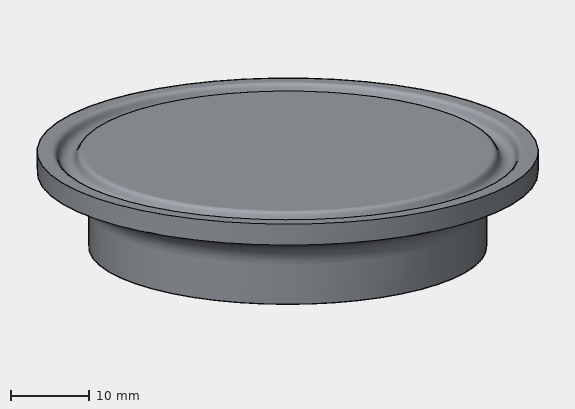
import cadquery as cq
import math

flange_diameter = 63.91
body_diameter = 50.8
total_height = 12.7

rim_height = 2.79
taper_angle = math.radians(20)
neck_fillet_radius = 3.1

groove_mid_radius = 28.13
groove_half_width = 2.02
wall_slope = math.radians(65)
lip_radius = 0.8
trough_radius = 1.19

flange_radius = flange_diameter / 2
body_radius = body_diameter / 2


def revolve_about_z(profile):
    """Turn a closed XZ profile a full circle about the Z axis."""
    full_turn = 360
    return profile.revolve(full_turn, axisStart=(0, 0, 0), axisEnd=(0, 1, 0))


def make_blank():
    """Revolve the body, neck fillet, tapered flange and rim about Z."""
    taper_end_radius = body_radius + neck_fillet_radius * (1 - math.sin(taper_angle))
    taper_end_z = -rim_height - (flange_radius - taper_end_radius) * math.tan(taper_angle)
    fillet_center_radius = body_radius + neck_fillet_radius
    fillet_center_z = taper_end_z - neck_fillet_radius * math.cos(taper_angle)

    fillet_mid_angle = (math.pi / 2 - taper_angle) / 2
    fillet_mid = (
        fillet_center_radius - neck_fillet_radius * math.cos(fillet_mid_angle),
        fillet_center_z + neck_fillet_radius * math.sin(fillet_mid_angle),
    )
    profile = (
        cq.Workplane("XZ")
        .moveTo(0, 0)
        .lineTo(flange_radius, 0)
        .lineTo(flange_radius, -rim_height)
        .lineTo(taper_end_radius, taper_end_z)
        .threePointArc(fillet_mid, (body_radius, fillet_center_z))
        .lineTo(body_radius, -total_height)
        .lineTo(0, -total_height)
        .close()
    )
    return revolve_about_z(profile)


def make_gasket_groove():
    """Ring to remove: lip arc, straight wall and trough arc, tangent and mirrored about the mid radius."""
    lip_end_offset = groove_half_width - lip_radius * math.sin(wall_slope)
    lip_end_z = -lip_radius * (1 - math.cos(wall_slope))
    lip_mid_offset = groove_half_width - lip_radius * math.sin(wall_slope / 2)
    lip_mid_z = -lip_radius * (1 - math.cos(wall_slope / 2))

    trough_edge_offset = trough_radius * math.sin(wall_slope)
    trough_edge_z = lip_end_z - (lip_end_offset - trough_edge_offset) * math.tan(wall_slope)
    trough_bottom_z = trough_edge_z - trough_radius * (1 - math.cos(wall_slope))

    def groove_point(offset, z):
        return (groove_mid_radius + offset, z)

    profile = (
        cq.Workplane("XZ")
        .moveTo(*groove_point(-groove_half_width, 0))
        .threePointArc(groove_point(-lip_mid_offset, lip_mid_z), groove_point(-lip_end_offset, lip_end_z))
        .lineTo(*groove_point(-trough_edge_offset, trough_edge_z))
        .threePointArc(groove_point(0, trough_bottom_z), groove_point(trough_edge_offset, trough_edge_z))
        .lineTo(*groove_point(lip_end_offset, lip_end_z))
        .threePointArc(groove_point(lip_mid_offset, lip_mid_z), groove_point(groove_half_width, 0))
        .close()
    )
    return revolve_about_z(profile)


result = make_blank().cut(make_gasket_groove())